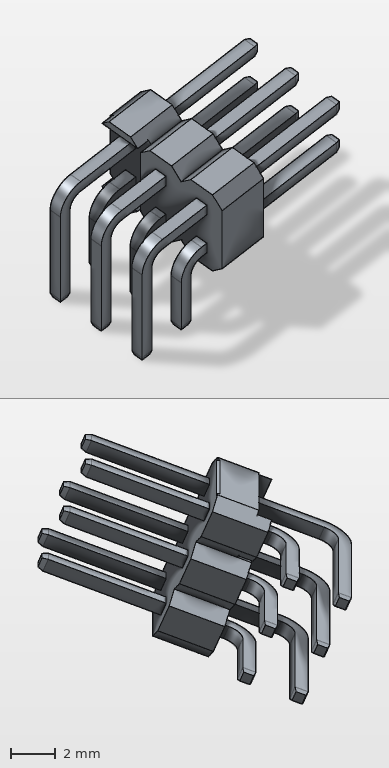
import cadquery as cq


pitch = 2.54
columns = 3
rows = 2

body_width = columns * pitch
body_height = rows * pitch
body_depth = 2.7
corner_chamfer = 0.6

relief_depth = 0.7
relief_edge = 0.44
relief_height = body_height - 2 * relief_edge

bevel_depth = 0.12
bevel_angle = 45
bevel_end_inset = 0.72
bevel_height = body_height - 2 * bevel_end_inset

pin_size = 0.64
bend_radius = 1.0
tip_length = 0.27
tip_inset = 0.08
tail_length = 6.0
lower_leg_offset = 1.34
overall_height = 8.08
leg_end_z = body_height / 2 - overall_height

first_column_x = -(columns - 1) * pitch / 2
first_row_z = -(rows - 1) * pitch / 2
side_x = -body_width / 2


def octagon_block(x):
    """One column of the body, with chamfered long edges."""
    block = cq.Workplane("XY").box(pitch, body_depth, body_height)
    block = block.edges("|Y").chamfer(corner_chamfer)
    return block.translate((x, body_depth / 2, 0))


def front_relief():
    """Cutter that recesses the front face of the first column."""
    cutter = cq.Workplane("XY").box(pitch, relief_depth, relief_height)
    return cutter.translate((first_column_x, relief_depth / 2, 0))


def rear_bevel():
    """Tapered cutter whose sloping flanks bevel the rear edge and close both ends."""
    half_width = 2 * bevel_depth
    centre_x = side_x + bevel_depth - half_width
    cutter = cq.Workplane("XZ", origin=(centre_x, body_depth, 0))
    cutter = cutter.rect(2 * half_width, bevel_height)
    return cutter.extrude(bevel_depth, taper=bevel_angle)


def square_bar(length):
    """Square bar along +Z from the origin, ending in a tapered tip."""
    tip_size = pin_size - 2 * tip_inset
    bar = cq.Workplane("XY").rect(pin_size, pin_size).extrude(length - tip_length)
    tip = cq.Workplane("XY", origin=(0, 0, length - tip_length)).rect(pin_size, pin_size)
    tip = tip.workplane(offset=tip_length).rect(tip_size, tip_size).loft(ruled=True)
    return bar.union(tip)


def bend():
    """Quarter turn from the -Y direction down to -Z, starting at the origin."""
    section = cq.Workplane("XZ").rect(pin_size, pin_size)
    return section.revolve(90, (-1, -bend_radius, 0), (1, -bend_radius, 0))


def bent_pin(x, z, leg_offset):
    """Pin through the body at (x, z), with its leg centreline leg_offset in front of the body."""
    bend_y = bend_radius - leg_offset
    leg_top_z = z - bend_radius
    tail = square_bar(body_depth + tail_length - bend_y).rotate((0, 0, 0), (1, 0, 0), -90)
    leg = square_bar(leg_top_z - leg_end_z).rotate((0, 0, 0), (1, 0, 0), 180)
    pin = tail.translate((x, bend_y, z))
    pin = pin.union(bend().translate((x, bend_y, z)))
    return pin.union(leg.translate((x, -leg_offset, leg_top_z)))


column_positions = [first_column_x + column * pitch for column in range(columns)]

result = octagon_block(first_column_x)
for column_x in column_positions[1:]:
    result = result.union(octagon_block(column_x))
result = result.cut(front_relief()).cut(rear_bevel())

for column_x in column_positions:
    for row in range(rows):
        row_z = first_row_z + row * pitch
        result = result.union(bent_pin(column_x, row_z, lower_leg_offset + row * pitch))